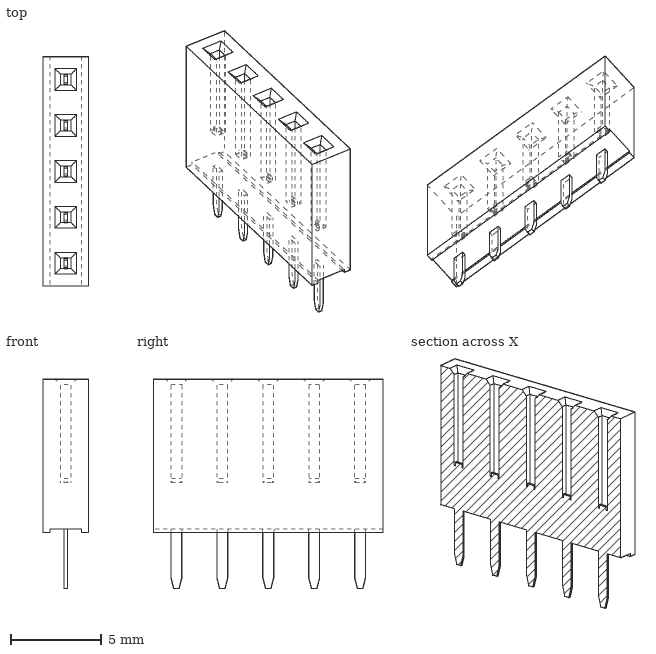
import cadquery as cq


pin_count = 5
pitch = 2.54
housing_width = 2.54
housing_length = pin_count * pitch
housing_height = 8.5
foot_width = 0.41
foot_height = 0.19

mouth_side = 1.21
hole_side = 0.6
funnel_depth = (mouth_side - hole_side) / 2
hole_depth = 5.72

pin_thickness = 0.22
pin_width = 0.61
pin_protrusion = 3.1
tip_length = 0.6
tip_width = 0.3
contact_width = 0.5
contact_height = 0.2

socket_floor = housing_height - hole_depth
row_positions = [(i - (pin_count - 1) / 2) * pitch for i in range(pin_count)]


def make_housing():
    """Block with a channel along the underside that leaves two long feet."""
    block = cq.Workplane("XY").box(
        housing_width, housing_length, housing_height, centered=(True, True, False)
    )
    channel = cq.Workplane("XY").box(
        housing_width - 2 * foot_width, housing_length, foot_height, centered=(True, True, False)
    )
    return block.cut(channel)


def make_socket(y):
    """Cutting tool for one socket: tapered mouth and straight hole."""
    funnel = (
        cq.Workplane("XY", origin=(0, y, housing_height))
        .rect(mouth_side, mouth_side)
        .workplane(offset=-funnel_depth)
        .rect(hole_side, hole_side)
        .loft(ruled=True)
    )
    hole = cq.Workplane("XY", origin=(0, y, socket_floor)).box(
        hole_side, hole_side, hole_depth - funnel_depth, centered=(True, True, False)
    )
    return funnel.union(hole)


def make_pin(y):
    """Flat blade with a tapered tip, rooted in the housing up to the socket floor."""
    tip_z = -pin_protrusion
    taper_z = tip_z + tip_length
    blade = (
        cq.Workplane("YZ", origin=(0, y, 0))
        .moveTo(-pin_width / 2, socket_floor)
        .lineTo(-pin_width / 2, taper_z)
        .lineTo(-tip_width / 2, tip_z)
        .lineTo(tip_width / 2, tip_z)
        .lineTo(pin_width / 2, taper_z)
        .lineTo(pin_width / 2, socket_floor)
        .close()
        .extrude(pin_thickness / 2, both=True)
    )
    contact = cq.Workplane("XY", origin=(0, y, socket_floor)).box(
        pin_thickness, contact_width, contact_height, centered=(True, True, False)
    )
    return blade.union(contact)


result = make_housing()
for row_y in row_positions:
    result = result.cut(make_socket(row_y))
    result = result.union(make_pin(row_y))